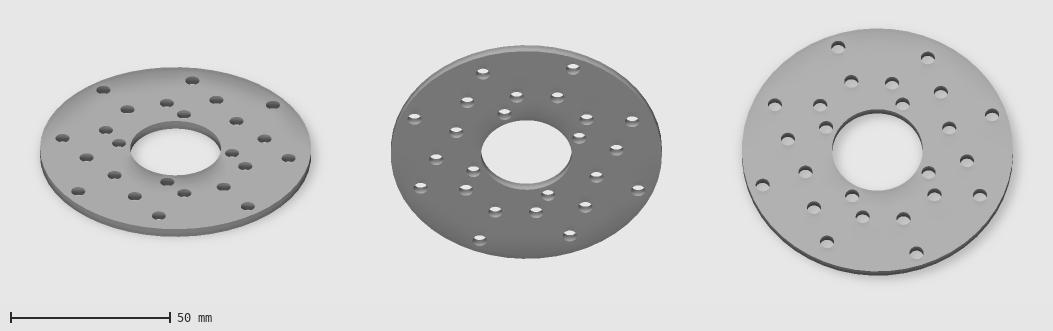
import cadquery as cq

disc_diameter = 85.2
thickness = 3.0
bore_diameter = 28.55

hole_diameter = 4.4
grid_pitch = 12.7
ring_radius = 23.9
ring_hole_count = 6


def mirrored(column, row):
    """Return the distinct mirror images of a grid position about X and Y."""
    return [
        (x * grid_pitch, y * grid_pitch)
        for x in sorted({-column, column})
        for y in sorted({-row, row})
    ]


quadrant_positions = [(1, 1), (1, 2), (2, 2), (2, 0), (3, 0), (0, 3)]
grid_points = [
    point
    for column, row in quadrant_positions
    for point in mirrored(column, row)
]

disc = cq.Workplane("XY").circle(disc_diameter / 2).extrude(thickness)
disc = disc.faces(">Z").workplane().hole(bore_diameter)
disc = disc.faces(">Z").workplane().pushPoints(grid_points).hole(hole_diameter)

result = (
    disc.faces(">Z")
    .workplane()
    .polarArray(ring_radius, 90, 360, ring_hole_count)
    .hole(hole_diameter)
)